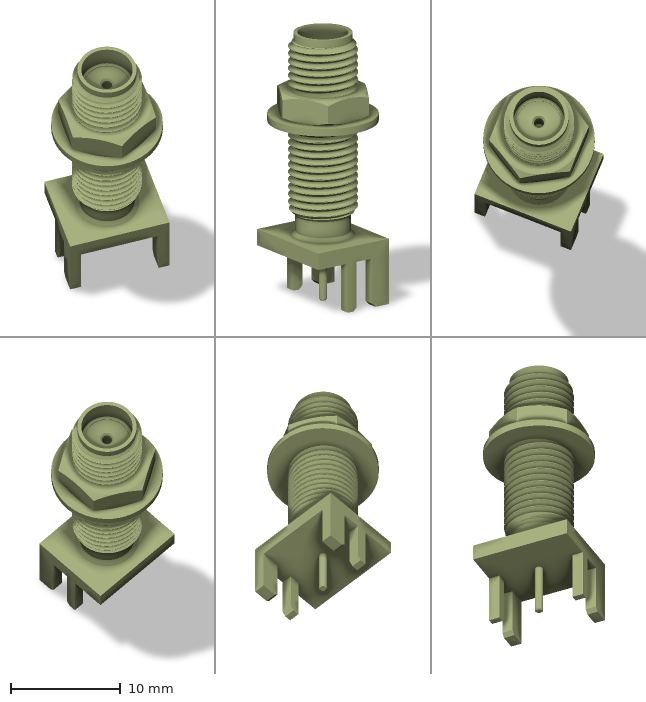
import cadquery as cq
import math

TOTAL_HEIGHT = 25.58
COLLAR_BASE_Z = 24.86
NUT_TOP_Z = 20.23
WASHER_TOP_Z = 17.85
WASHER_BASE_Z = 17.16
BARREL_BASE_Z = 8.2
FLARE_TOP_Z = 6.68
PLATE_TOP_Z = 6.3
PLATE_BASE_Z = 4.73
LEG_BASE_Z = 0.05

COLLAR_RADIUS = 5.4 / 2
NECK_RADIUS = 5.1 / 2
FLARE_RADIUS = NECK_RADIUS + FLARE_TOP_Z - PLATE_TOP_Z
CREST_RADIUS = 6.4 / 2
ROOT_CLEARANCE = 0.03
ROOT_RADIUS = COLLAR_RADIUS + ROOT_CLEARANCE
PITCH_TURNS = 21
PITCH_TURNS_LENGTH = 14.84
THREAD_PITCH = PITCH_TURNS_LENGTH / PITCH_TURNS
CREST_WIDTH = 0.065
ROOT_WIDTH = 0.03
CREST_Z = 9.13
CHAMFER_LENGTH = 0.82
SPIRAL_STEPS = 16

BORE_RADIUS = 4.68 / 2
BORE_DEPTH = 1.97
RECESS_RADIUS = 4.1 / 2
RECESS_DEPTH = 0.08
CONTACT_MOUTH_RADIUS = 1.28 / 2
CONTACT_HOLE_RADIUS = 0.92 / 2
CONTACT_HOLE_DEPTH = 2.05
DRILL_POINT_ANGLE = 118.0

NUT_SIDES = 6
NUT_FLATS = 7.95
NUT_CHAMFER_ANGLE = 30.0
WASHER_RADIUS = 10.2 / 2

PLATE_X = 7.95
PLATE_Y = 9.52
LEG_THICKNESS = 1.05
INNER_LEG_MIN_X = -0.65
SLOT_MIN_X = 0.35
SLOT_MAX_X = 2.12
LEG_CHAMFER = 0.35
PIN_RADIUS = 0.77 / 2
PIN_CHAMFER = 0.1


def cylinder(radius, base_z, top_z):
    return cq.Workplane("XY").workplane(offset=base_z).circle(radius).extrude(top_z - base_z)


def revolved(profile):
    """Revolve a closed (radius, z) outline about the Z axis."""
    return cq.Workplane("XZ").polyline(profile).close().revolve(360, (0, 0, 0), (0, 1, 0))


def polar_point(radius, angle):
    return cq.Vector(radius * math.cos(angle), radius * math.sin(angle), 0)


def arc(radius, start_angle, end_angle):
    angles = (start_angle, (start_angle + end_angle) / 2, end_angle)
    return cq.Edge.makeThreePointArc(*[polar_point(radius, angle) for angle in angles])


def spiral(start_radius, end_radius, start_angle, end_angle):
    """Curve whose radius changes evenly with angle: a straight thread flank seen along the axis."""
    points = []
    for step in range(SPIRAL_STEPS + 1):
        share = step / SPIRAL_STEPS
        radius = start_radius + share * (end_radius - start_radius)
        points.append(polar_point(radius, start_angle + share * (end_angle - start_angle)))
    return cq.Edge.makeSpline(points)


def thread(base_z, top_z):
    """Length of right-handed V thread with flat ends, made by twisting its cross-section."""
    half_crest = math.pi * CREST_WIDTH / THREAD_PITCH
    half_root = math.pi * ROOT_WIDTH / THREAD_PITCH
    root_start = math.pi - half_root
    root_end = math.pi + half_root
    section = cq.Wire.assembleEdges([
        arc(CREST_RADIUS, -half_crest, half_crest),
        spiral(CREST_RADIUS, ROOT_RADIUS, half_crest, root_start),
        arc(ROOT_RADIUS, root_start, root_end),
        spiral(ROOT_RADIUS, CREST_RADIUS, root_end, 2 * math.pi - half_crest),
    ])
    degrees_per_height = 360 / THREAD_PITCH
    height = top_z - base_z
    solid = cq.Solid.extrudeLinearWithRotation(
        section, [], cq.Vector(), cq.Vector(0, 0, height), degrees_per_height * height
    )
    start_angle = degrees_per_height * (base_z - CREST_Z)
    return cq.Workplane(obj=solid).rotate((0, 0, 0), (0, 0, 1), start_angle).translate((0, 0, base_z))


def threaded_lengths():
    """Thread below the washer and above the nut, each with a 45 degree chamfer at its free end."""
    lower_split_z = BARREL_BASE_Z + CHAMFER_LENGTH
    upper_split_z = COLLAR_BASE_Z - CHAMFER_LENGTH
    lower_cone = revolved([
        (0, BARREL_BASE_Z),
        (NECK_RADIUS, BARREL_BASE_Z),
        (NECK_RADIUS + CHAMFER_LENGTH, lower_split_z),
        (0, lower_split_z),
    ])
    upper_cone = revolved([
        (0, upper_split_z),
        (COLLAR_RADIUS + CHAMFER_LENGTH, upper_split_z),
        (COLLAR_RADIUS, COLLAR_BASE_Z),
        (0, COLLAR_BASE_Z),
    ])
    lower_end = thread(BARREL_BASE_Z, lower_split_z).intersect(lower_cone)
    upper_end = thread(upper_split_z, COLLAR_BASE_Z).intersect(upper_cone)
    lower_thread = thread(lower_split_z, WASHER_BASE_Z).union(lower_end)
    upper_thread = thread(NUT_TOP_Z, upper_split_z).union(upper_end)
    return lower_thread, upper_thread


def neck():
    """Plain neck that flares out at 45 degrees onto the plate."""
    return revolved([
        (0, PLATE_TOP_Z),
        (FLARE_RADIUS, PLATE_TOP_Z),
        (NECK_RADIUS, FLARE_TOP_Z),
        (NECK_RADIUS, BARREL_BASE_Z),
        (0, BARREL_BASE_Z),
    ])


def socket():
    """Bore, shallow recess and countersunk contact hole with a conical bottom."""
    bore_z = TOTAL_HEIGHT - BORE_DEPTH
    recess_z = bore_z - RECESS_DEPTH
    countersink_z = recess_z - (CONTACT_MOUTH_RADIUS - CONTACT_HOLE_RADIUS)
    hole_z = recess_z - CONTACT_HOLE_DEPTH
    cone_depth = CONTACT_HOLE_RADIUS / math.tan(math.radians(DRILL_POINT_ANGLE / 2))
    return revolved([
        (0, TOTAL_HEIGHT),
        (BORE_RADIUS, TOTAL_HEIGHT),
        (BORE_RADIUS, bore_z),
        (RECESS_RADIUS, bore_z),
        (RECESS_RADIUS, recess_z),
        (CONTACT_MOUTH_RADIUS, recess_z),
        (CONTACT_HOLE_RADIUS, countersink_z),
        (CONTACT_HOLE_RADIUS, hole_z),
        (0, hole_z - cone_depth),
    ])


def nut():
    """Hexagon with corners on X, turned conically at both ends."""
    corner_radius = NUT_FLATS / 2 / math.cos(math.pi / NUT_SIDES)
    face_radius = NUT_FLATS / 2
    corner_drop = (corner_radius - face_radius) * math.tan(math.radians(NUT_CHAMFER_ANGLE))
    hexagon = (
        cq.Workplane("XY")
        .workplane(offset=WASHER_TOP_Z)
        .polygon(NUT_SIDES, 2 * corner_radius)
        .extrude(NUT_TOP_Z - WASHER_TOP_Z)
    )
    turned_envelope = revolved([
        (0, WASHER_TOP_Z),
        (face_radius, WASHER_TOP_Z),
        (corner_radius, WASHER_TOP_Z + corner_drop),
        (corner_radius, NUT_TOP_Z - corner_drop),
        (face_radius, NUT_TOP_Z),
        (0, NUT_TOP_Z),
    ])
    return hexagon.intersect(turned_envelope)


def mounting_plate():
    """Plate with a pair of slotted legs along each Y edge."""
    plate = (
        cq.Workplane("XY")
        .workplane(offset=PLATE_BASE_Z)
        .rect(PLATE_X, PLATE_Y)
        .extrude(PLATE_TOP_Z - PLATE_BASE_Z)
    )
    leg_pair = (
        cq.Workplane("XZ")
        .polyline([
            (INNER_LEG_MIN_X, PLATE_TOP_Z),
            (INNER_LEG_MIN_X, LEG_BASE_Z),
            (SLOT_MIN_X - LEG_CHAMFER, LEG_BASE_Z),
            (SLOT_MIN_X, LEG_BASE_Z + LEG_CHAMFER),
            (SLOT_MIN_X, PLATE_BASE_Z),
            (SLOT_MAX_X, PLATE_BASE_Z),
            (SLOT_MAX_X, LEG_BASE_Z + LEG_CHAMFER),
            (SLOT_MAX_X + LEG_CHAMFER, LEG_BASE_Z),
            (PLATE_X / 2, LEG_BASE_Z),
            (PLATE_X / 2, PLATE_TOP_Z),
        ])
        .close()
        .extrude(LEG_THICKNESS)
        .translate((0, PLATE_Y / 2, 0))
    )
    return plate.union(leg_pair).union(leg_pair.mirror("XZ"))


def contact_pin():
    return cylinder(PIN_RADIUS, 0, PLATE_BASE_Z).faces("<Z").chamfer(PIN_CHAMFER)


lower_thread, upper_thread = threaded_lengths()
upper_half = upper_thread.union(cylinder(COLLAR_RADIUS, COLLAR_BASE_Z, TOTAL_HEIGHT)).cut(socket())

result = (
    mounting_plate()
    .union(contact_pin())
    .union(neck())
    .union(lower_thread)
    .union(cylinder(WASHER_RADIUS, WASHER_BASE_Z, WASHER_TOP_Z))
    .union(nut())
    .union(upper_half)
)